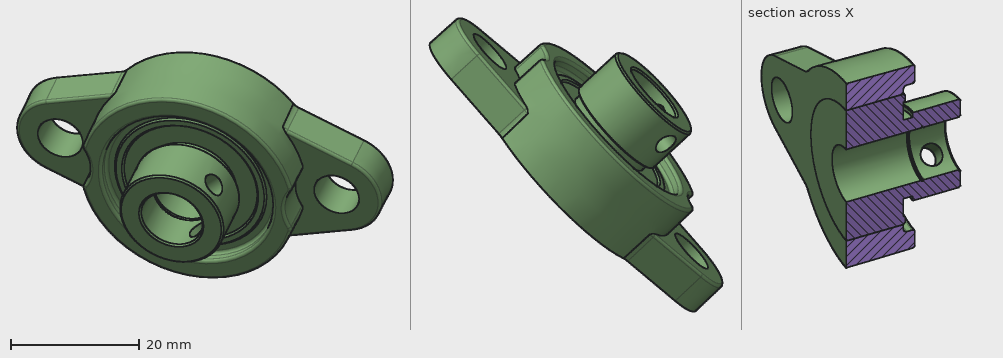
import cadquery as cq
import math

flange_length = 59.95
ear_radius = 7.3
ear_thickness = 6.05
ear_slope = 20.0
ear_hole_diameter = 7.4
boss_diameter = 35.5
boss_depth = 12.0
draft_angle = 0.8
notch_diameter = 13.5
ear_root_fillet = 2.0
notch_corner_fillet = 1.0
rim_fillet = 0.5
mouth_diameter = 28.05
mouth_fillet = 0.55
mouth_floor_depth = 10.0

race_outer_diameter = 24.95
race_inner_diameter = 21.8
race_chamfer = 0.3
race_height = 0.3
neck_diameter = 15.2
collar_diameter = 17.0
collar_back_depth = 11.5
collar_front_depth = 19.9
collar_chamfer = 0.3
rear_chamfer = 0.15
bore_diameter = 10.0
bore_chamfer = 0.3
bore_groove_depth = 13.3
set_screw_diameter = 3.6
set_screw_depth = 16.6
set_screw_angles = (45.0, -45.0)

boss_radius = boss_diameter / 2
ear_centre = flange_length / 2 - ear_radius
draft = math.tan(math.radians(draft_angle))


def plane_at(depth):
    """Sketch plane parallel to XZ whose extrusions run toward -Y."""
    return cq.Workplane("XZ", origin=(0, -depth, 0))


def revolve_about_y(points):
    """Solid of revolution from (radius, depth) points."""
    profile = [(radius, -depth) for radius, depth in points]
    return cq.Workplane("XY").polyline(profile).close().revolve(360, (0, 0, 0), (0, 1, 0))


def make_ear():
    """Ear on the +X side, flared at its root to run tangent into the boss."""
    slope = math.radians(ear_slope)
    normal_x = math.sin(slope)
    normal_z = math.cos(slope)
    tip_x = ear_centre + ear_radius * normal_x
    tip_z = ear_radius * normal_z

    side_distance = ear_centre * normal_x + ear_radius
    arc_distance = boss_radius + ear_root_fillet
    arc_angle = math.pi / 2 - slope - math.acos((side_distance + ear_root_fillet) / arc_distance)
    radial_x = math.cos(arc_angle)
    radial_z = math.sin(arc_angle)
    arc_x = arc_distance * radial_x
    arc_z = arc_distance * radial_z
    middle_length = math.hypot(normal_x + radial_x, normal_z + radial_z)
    middle_x = arc_x - ear_root_fillet * (normal_x + radial_x) / middle_length
    middle_z = arc_z - ear_root_fillet * (normal_z + radial_z) / middle_length
    side_x = arc_x - ear_root_fillet * normal_x
    side_z = arc_z - ear_root_fillet * normal_z
    root_x = boss_radius * radial_x
    root_z = boss_radius * radial_z

    ear = (
        plane_at(0)
        .moveTo(root_x, root_z)
        .threePointArc((middle_x, middle_z), (side_x, side_z))
        .lineTo(tip_x, tip_z)
        .threePointArc((flange_length / 2, 0), (tip_x, -tip_z))
        .lineTo(side_x, -side_z)
        .threePointArc((middle_x, -middle_z), (root_x, -root_z))
        .close()
        .extrude(ear_thickness, taper=draft_angle)
    )
    return ear.faces("<Y").edges(">X").fillet(rim_fillet)


def make_boss():
    """Drafted round boss, relieved around each ear hole, with a rounded front rim."""
    front_radius = boss_radius - boss_depth * draft
    boss = revolve_about_y([(0, 0), (boss_radius, 0), (front_radius, boss_depth), (0, boss_depth)])
    notches = (
        plane_at(0)
        .pushPoints([(-ear_centre, 0), (ear_centre, 0)])
        .circle(notch_diameter / 2)
        .extrude(boss_depth)
    )
    boss = boss.cut(notches)
    notch_corners = boss.edges("not(<Y or >Y)")
    boss = notch_corners.fillet(notch_corner_fillet)
    return boss.faces("<Y").edges().fillet(rim_fillet)


def cut_bearing_seat(body):
    """Recess in the front face with a rounded lip and floor, and the bearing bore through it."""
    mouth_depth = boss_depth - mouth_floor_depth
    mouth = plane_at(mouth_floor_depth).circle(mouth_diameter / 2).extrude(mouth_depth)
    mouth = mouth.faces(">Y").edges().fillet(mouth_fillet)
    body = body.cut(mouth)
    lip = body.faces("<Y").edges(cq.selectors.RadiusNthSelector(1))
    body = lip.fillet(mouth_fillet)
    seat = plane_at(0).circle(race_outer_diameter / 2).extrude(boss_depth)
    return body.cut(seat)


def make_housing():
    """Two-ear flange around a round boss."""
    ear = make_ear()
    body = make_boss().union(ear).union(ear.mirror("YZ"))
    body = cut_bearing_seat(body)
    ear_holes = (
        plane_at(0)
        .pushPoints([(-ear_centre, 0), (ear_centre, 0)])
        .circle(ear_hole_diameter / 2)
        .extrude(boss_depth)
    )
    return body.cut(ear_holes)


def make_bearing():
    """Races, shield, neck and collar turned as one piece, with two set screw holes."""
    collar_radius = collar_diameter / 2
    bore_radius = bore_diameter / 2
    race_outer_radius = race_outer_diameter / 2
    race_inner_radius = race_inner_diameter / 2
    race_depth = mouth_floor_depth + race_height
    neck_radius = neck_diameter / 2
    body = revolve_about_y([
        (bore_radius, 0),
        (race_outer_radius, 0),
        (race_outer_radius, race_depth - race_chamfer),
        (race_outer_radius - race_chamfer, race_depth),
        (race_inner_radius + race_chamfer, race_depth),
        (race_inner_radius, mouth_floor_depth),
        (neck_radius, mouth_floor_depth),
        (neck_radius, collar_back_depth),
        (collar_radius - rear_chamfer, collar_back_depth),
        (collar_radius, collar_back_depth + rear_chamfer),
        (collar_radius, collar_front_depth - collar_chamfer),
        (collar_radius - collar_chamfer, collar_front_depth),
        (bore_radius + bore_chamfer, collar_front_depth),
        (bore_radius, collar_front_depth - bore_chamfer),
        (bore_radius, bore_groove_depth + rear_chamfer),
        (bore_radius + rear_chamfer, bore_groove_depth),
        (bore_radius + bore_chamfer, bore_groove_depth),
        (bore_radius, bore_groove_depth - bore_chamfer),
    ])
    for angle in set_screw_angles:
        screw_hole = (
            cq.Workplane("XY")
            .circle(set_screw_diameter / 2)
            .extrude(collar_diameter)
            .rotate((0, 0, 0), (0, 1, 0), 90.0 - angle)
            .translate((0, -set_screw_depth, 0))
        )
        body = body.cut(screw_hole)
    return body


housing = make_housing()
bearing = make_bearing()

result = cq.Compound.makeCompound([housing.val(), bearing.val()])